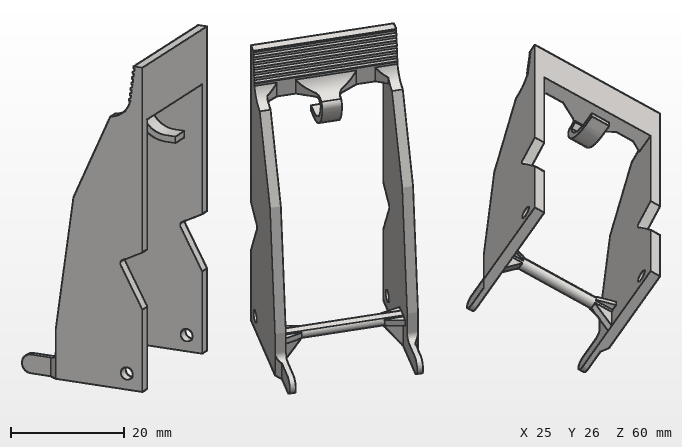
import cadquery as cq
import math

HEIGHT = 60.0
WIDTH = 26.0
BACK_X = 24.0
WALL = 2.0
OUTER_Y = WIDTH / 2
INNER_Y = OUTER_Y - WALL
CLEARANCE = 0.6

WALL_FRONT_X = 7.0
WALL_BEND_LOW_Z = 9.05
WALL_BEND_X = 10.5
WALL_BEND_Z = 34.1
SHOULDER_X = 17.7
SHOULDER_Z = 50.05

PLATE_TOP_X = 22.5
PLATE_FOOT_X = 21.4
PLATE_FOOT_Z = 52.9
GRIP_BOTTOM_X = 21.6
GRIP_BOTTOM_Z = 53.4
PLATE_UNDERSIDE_Z = 49.85
SCOOP_RADIUS = 4.55
GRIP_RIB_RADIUS = 0.27
GRIP_RIB_COUNT = 7
GRIP_RIB_PITCH = 1.0
GRIP_FIRST_Z = 59.8

WINDOW_OUTER_Y = 8.95
WINDOW_INNER_Y = 5.5
WINDOW_WALL_X = 20.2
NECK_X = 18.5
NECK_FLARE_X = 19.8
NECK_FLARE_Y = 2.65

HOOK_WIDTH = 3.6
HOOK_FRONT_X = 17.1
HOOK_BOTTOM_Z = 42.9
HOOK_TIP_X = 25.0
HOOK_THICKNESS = 1.2
HOOK_RADIUS = 6.0
HOOK_ARM_X = 19.5
HOOK_ROOT_Z = 49.4

NOTCH_TOP_Z = 25.8
NOTCH_BOTTOM_Z = 15.25
NOTCH_X = 19.45
NOTCH_Z = 23.45
NOTCH_RADIUS = 0.6

HOLE_DIAMETER = 2.3
HOLE_X = 20.95
HOLE_Z = 3.0

FOOT_HEIGHT = 3.5
FOOT_THICKNESS = 1.1
FOOT_TAPER_X = 5.65
FOOT_FILLET = WALL_FRONT_X - FOOT_TAPER_X

ROD_DIAMETER = 2.15
ROD_X = 10.5
ROD_Z = 6.0
ROD_FLAT_Z = 6.8
GUSSET_LENGTH = 3.5
GUSSET_THICKNESS = 1.2
GUSSET_HALF_SPREAD = 2.05


def extrude_y(sketch, half_width):
    """Extrude an XZ sketch symmetrically about the Y = 0 plane."""
    return sketch.extrude(half_width, both=True)


def grip_x(z):
    """X of the sloped grip face at height z."""
    slope = (PLATE_TOP_X - GRIP_BOTTOM_X) / (HEIGHT - GRIP_BOTTOM_Z)
    return GRIP_BOTTOM_X + slope * (z - GRIP_BOTTOM_Z)


def wall_profile():
    """Full side outline, from the bottom edge up to the thumb plate."""
    return (
        cq.Workplane("XZ")
        .moveTo(BACK_X, 0)
        .lineTo(FOOT_HEIGHT / 2, 0)
        .threePointArc((0, FOOT_HEIGHT / 2), (FOOT_HEIGHT / 2, FOOT_HEIGHT))
        .lineTo(FOOT_TAPER_X, FOOT_HEIGHT)
        .radiusArc((WALL_FRONT_X, FOOT_HEIGHT + FOOT_FILLET), -FOOT_FILLET)
        .lineTo(WALL_FRONT_X, WALL_BEND_LOW_Z)
        .lineTo(WALL_BEND_X, WALL_BEND_Z)
        .lineTo(SHOULDER_X, SHOULDER_Z)
        .radiusArc((PLATE_FOOT_X, PLATE_FOOT_Z), -SCOOP_RADIUS)
        .lineTo(PLATE_FOOT_X, GRIP_BOTTOM_Z)
        .lineTo(GRIP_BOTTOM_X, GRIP_BOTTOM_Z)
        .lineTo(PLATE_TOP_X, HEIGHT)
        .lineTo(BACK_X, HEIGHT)
        .close()
    )


def foot_taper(side):
    """Material removed outside a foot so that it is thinner than its wall."""
    foot_y = INNER_Y + FOOT_THICKNESS
    beyond = OUTER_Y + CLEARANCE
    return (
        cq.Workplane("XY")
        .polyline([
            (-CLEARANCE, side * foot_y),
            (FOOT_TAPER_X, side * foot_y),
            (WALL_FRONT_X, side * OUTER_Y),
            (WALL_FRONT_X, side * beyond),
            (-CLEARANCE, side * beyond),
        ])
        .close()
        .extrude(WALL_BEND_LOW_Z)
    )


def rear_notch():
    """Rounded V notch in the rear edges of both walls."""
    notch = extrude_y(
        cq.Workplane("XZ")
        .polyline([(BACK_X, NOTCH_TOP_Z), (NOTCH_X, NOTCH_Z), (BACK_X, NOTCH_BOTTOM_Z)])
        .close(),
        OUTER_Y,
    )
    return notch.edges("<X").fillet(NOTCH_RADIUS)


def window(side):
    """Plan-shaped opening between the hook neck and one side wall."""
    neck_y = HOOK_WIDTH / 2
    return (
        cq.Workplane("XY", origin=(0, 0, PLATE_UNDERSIDE_Z))
        .moveTo(HOOK_FRONT_X - CLEARANCE, side * neck_y)
        .lineTo(NECK_X, side * neck_y)
        .tangentArcPoint((NECK_FLARE_X, side * NECK_FLARE_Y), relative=False)
        .lineTo(PLATE_FOOT_X, side * WINDOW_INNER_Y)
        .lineTo(PLATE_FOOT_X, side * WINDOW_OUTER_Y)
        .lineTo(WINDOW_WALL_X, side * INNER_Y)
        .lineTo(HOOK_FRONT_X - CLEARANCE, side * INNER_Y)
        .close()
        .extrude(PLATE_FOOT_Z - PLATE_UNDERSIDE_Z)
    )


def grip_ribs():
    """Half-round ribs across the sloped face of the thumb plate."""
    centres = [GRIP_FIRST_Z - i * GRIP_RIB_PITCH for i in range(GRIP_RIB_COUNT)]
    ribs = extrude_y(
        cq.Workplane("XZ").pushPoints([(grip_x(z), z) for z in centres]).circle(GRIP_RIB_RADIUS),
        OUTER_Y,
    )
    below_top = cq.Workplane("XY").box(BACK_X, WIDTH, HEIGHT, centered=(False, True, False))
    return ribs.intersect(below_top)


def hook():
    """J-shaped hook hanging from the neck, with a flat tip pointing rearward."""
    inner_radius = HOOK_RADIUS - HOOK_THICKNESS
    centre_x = HOOK_FRONT_X + HOOK_RADIUS
    centre_z = HOOK_BOTTOM_Z + HOOK_RADIUS
    nose_depth = SHOULDER_X - HOOK_FRONT_X
    nose_height = SHOULDER_Z - centre_z
    nose_radius = math.hypot(nose_depth, nose_height) ** 2 / (2 * nose_depth)
    diagonal = math.sqrt(0.5)
    profile = (
        cq.Workplane("XZ")
        .moveTo(SHOULDER_X, SHOULDER_Z)
        .radiusArc((HOOK_FRONT_X, centre_z), -nose_radius)
        .threePointArc(
            (centre_x - diagonal * HOOK_RADIUS, centre_z - diagonal * HOOK_RADIUS),
            (centre_x, HOOK_BOTTOM_Z),
        )
        .lineTo(HOOK_TIP_X, HOOK_BOTTOM_Z)
        .lineTo(HOOK_TIP_X, HOOK_BOTTOM_Z + HOOK_THICKNESS)
        .lineTo(centre_x, HOOK_BOTTOM_Z + HOOK_THICKNESS)
        .threePointArc(
            (centre_x - diagonal * inner_radius, centre_z - diagonal * inner_radius),
            (centre_x - inner_radius, centre_z),
        )
        .lineTo(HOOK_ARM_X, HOOK_ROOT_Z)
        .lineTo(HOOK_ARM_X, SHOULDER_Z)
        .close()
    )
    return extrude_y(profile, HOOK_WIDTH / 2)


def cross_rod():
    """Round rod between the walls with a flat along its top."""
    rod = extrude_y(cq.Workplane("XZ", origin=(ROD_X, 0, ROD_Z)).circle(ROD_DIAMETER / 2), INNER_Y)
    flat_cut = cq.Workplane("XY", origin=(ROD_X, 0, ROD_FLAT_Z)).box(
        ROD_DIAMETER, WIDTH, ROD_DIAMETER, centered=(True, True, False)
    )
    return rod.cut(flat_cut)


def gussets(side):
    """Flat and upright gussets joining one end of the rod to its wall."""
    wall_y = side * INNER_Y
    end_y = side * (INNER_Y - GUSSET_LENGTH)
    rod_radius = ROD_DIAMETER / 2
    flat = (
        cq.Workplane("XY", origin=(ROD_X, 0, ROD_Z - GUSSET_THICKNESS / 2))
        .polyline([
            (-GUSSET_HALF_SPREAD, wall_y),
            (-rod_radius, end_y),
            (rod_radius, end_y),
            (GUSSET_HALF_SPREAD, wall_y),
        ])
        .close()
        .extrude(GUSSET_THICKNESS)
    )
    upright = (
        cq.Workplane("YZ", origin=(ROD_X, 0, 0))
        .polyline([(wall_y, 0), (end_y, ROD_Z - rod_radius), (end_y, ROD_Z), (wall_y, ROD_Z)])
        .close()
        .extrude(GUSSET_THICKNESS / 2, both=True)
    )
    return flat.union(upright)


frame = extrude_y(wall_profile(), OUTER_Y)
opening = cq.Workplane("XY", origin=(-CLEARANCE, 0, 0)).box(
    BACK_X + 2 * CLEARANCE, 2 * INNER_Y, PLATE_UNDERSIDE_Z, centered=(False, True, False)
)
hole = extrude_y(
    cq.Workplane("XZ", origin=(HOLE_X, 0, HOLE_Z)).circle(HOLE_DIAMETER / 2), OUTER_Y
)
frame = frame.cut(opening).cut(rear_notch()).cut(hole)
for side in (-1, 1):
    frame = frame.cut(foot_taper(side)).cut(window(side))

result = frame.union(grip_ribs()).union(hook()).union(cross_rod())
for side in (-1, 1):
    result = result.union(gussets(side))